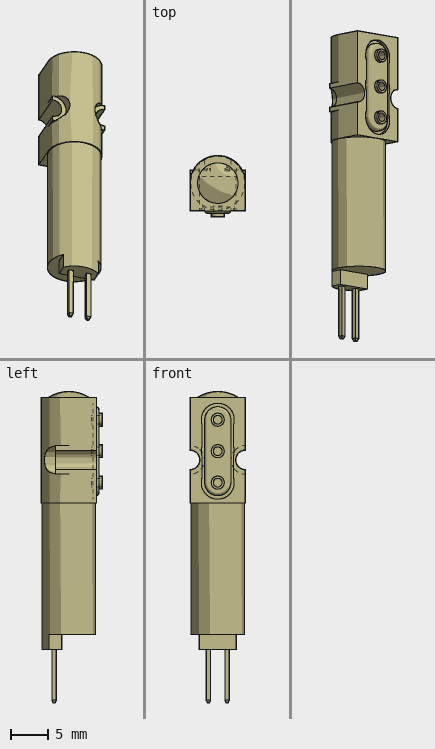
import cadquery as cq

PIN_TIP_Z = 0.0
PLUG_BOTTOM_Z = 7.2
BARREL_BOTTOM_Z = 9.2
HEAD_BOTTOM_Z = 26.95
DOME_TOP_Z = 42.05
DOME_HEIGHT = 0.8
HEAD_TOP_Z = DOME_TOP_Z - DOME_HEIGHT

HEAD_RADIUS = 3.75
DOME_BASE_RADIUS = 2.75

BARREL_STEP = 0.105
BARREL_RADIUS = HEAD_RADIUS - BARREL_STEP
PLUG_WIDTH = 5.0
PLUG_FRONT_Y = 0.93
PIN_PITCH = 2.52
PIN_SIZE = 0.65
PIN_Y = 1.98
PIN_TIP_HEIGHT = 0.38
PIN_TIP_CHAMFER = 0.15

NOTCH_Z = 32.8
NOTCH_RADIUS = 1.3
SEAT_RADIUS = 1.95
SEAT_Y = 1.75

TERMINAL_Z = 34.0
TERMINAL_PITCH = 4.25
TERMINAL_RADIUS = 0.9
TERMINAL_BORE_RADIUS = 0.6
TERMINAL_BORE_DEPTH = 1.47
TERMINAL_HEIGHT = 0.8
PLATE_WIDTH = 3.55
PLATE_HEIGHT = 0.35
PLATE_EDGE_ROUND = 0.4
RECESS_WIDTH = 4.2
RECESS_LOBE_RADIUS = 2.25
RECESS_DEPTH = 0.5

FRONT_Y = -HEAD_RADIUS
TERMINAL_LEVELS = [TERMINAL_Z + step * TERMINAL_PITCH for step in (-1, 0, 1)]


def cylinder_z(radius, bottom, top):
    return cq.Workplane("XY", origin=(0, 0, bottom)).circle(radius).extrude(top - bottom)


def cylinder_y(radius, x, z, front, back):
    return cq.Workplane("XZ", origin=(x, front, z)).circle(radius).extrude(front - back)


def slot_y(width, front, back):
    """Upright slot whose end arcs are centred on the outer terminals."""
    length = 2 * TERMINAL_PITCH + width
    plane = cq.Workplane("XZ", origin=(0, front, TERMINAL_Z))
    return plane.slot2D(length, width, 90).extrude(front - back)


def make_head():
    return (
        cq.Workplane("XY", origin=(0, 0, HEAD_BOTTOM_Z))
        .moveTo(-HEAD_RADIUS, FRONT_Y)
        .lineTo(HEAD_RADIUS, FRONT_Y)
        .lineTo(HEAD_RADIUS, 0)
        .threePointArc((0, HEAD_RADIUS), (-HEAD_RADIUS, 0))
        .close()
        .extrude(HEAD_TOP_Z - HEAD_BOTTOM_Z)
    )


def make_dome():
    """Spherical cap, revolved from half of its profile."""
    sphere_radius = (DOME_BASE_RADIUS**2 + DOME_HEIGHT**2) / (2 * DOME_HEIGHT)
    return (
        cq.Workplane("XZ")
        .moveTo(0, HEAD_TOP_Z)
        .lineTo(DOME_BASE_RADIUS, HEAD_TOP_Z)
        .radiusArc((0, DOME_TOP_Z), -sphere_radius)
        .close()
        .revolve(360, (0, 0, 0), (0, 1, 0))
    )


def add_screw_notches(head):
    """Half-round notches along Y, each in a squared-off flank with a wider screw seat behind it."""
    seat_block = cq.Workplane("XY", origin=(0, 0, NOTCH_Z)).box(
        2 * HEAD_RADIUS, SEAT_Y, 2 * SEAT_RADIUS, centered=(True, False, True)
    )
    head = head.union(seat_block)
    for x in (-HEAD_RADIUS, HEAD_RADIUS):
        head = head.cut(cylinder_y(NOTCH_RADIUS, x, NOTCH_Z, FRONT_Y, HEAD_RADIUS))
        head = head.cut(cylinder_y(SEAT_RADIUS, x, NOTCH_Z, SEAT_Y, HEAD_RADIUS))
    return head


def cut_plate_recess(head):
    recess_floor_y = FRONT_Y + RECESS_DEPTH
    head = head.cut(slot_y(RECESS_WIDTH, FRONT_Y, recess_floor_y))
    for z in TERMINAL_LEVELS:
        head = head.cut(cylinder_y(RECESS_LOBE_RADIUS, 0, z, FRONT_Y, recess_floor_y))
    return head


def make_terminal_plate():
    plate = slot_y(PLATE_WIDTH, FRONT_Y - PLATE_HEIGHT, FRONT_Y + RECESS_DEPTH)
    return plate.faces("<Y").edges().fillet(PLATE_EDGE_ROUND)


def add_terminals(body):
    terminal_front_y = FRONT_Y - TERMINAL_HEIGHT
    bore_floor_y = terminal_front_y + TERMINAL_BORE_DEPTH
    for z in TERMINAL_LEVELS:
        body = body.union(cylinder_y(TERMINAL_RADIUS, 0, z, terminal_front_y, FRONT_Y))
        body = body.cut(cylinder_y(TERMINAL_BORE_RADIUS, 0, z, terminal_front_y, bore_floor_y))
    return body


def make_plug():
    """Segment of the barrel's circle that continues below the barrel."""
    block = cq.Workplane("XY", origin=(0, PLUG_FRONT_Y, PLUG_BOTTOM_Z)).box(
        PLUG_WIDTH, BARREL_RADIUS, BARREL_BOTTOM_Z - PLUG_BOTTOM_Z, centered=(True, False, False)
    )
    return block.intersect(cylinder_z(BARREL_RADIUS, PLUG_BOTTOM_Z, BARREL_BOTTOM_Z))


def make_pin(x):
    """Square pin with a tapered tip."""
    pin = (
        cq.Workplane("XY", origin=(x, PIN_Y, PIN_TIP_Z))
        .rect(PIN_SIZE, PIN_SIZE)
        .extrude(PLUG_BOTTOM_Z - PIN_TIP_Z)
    )
    return pin.faces("<Z").chamfer(PIN_TIP_HEIGHT, PIN_TIP_CHAMFER)


head = cut_plate_recess(add_screw_notches(make_head()))
body = head.union(make_dome()).union(make_terminal_plate())
body = add_terminals(body)
body = body.union(cylinder_z(BARREL_RADIUS, BARREL_BOTTOM_Z, HEAD_BOTTOM_Z)).union(make_plug())
for pin_x in (-PIN_PITCH / 2, PIN_PITCH / 2):
    body = body.union(make_pin(pin_x))

result = body